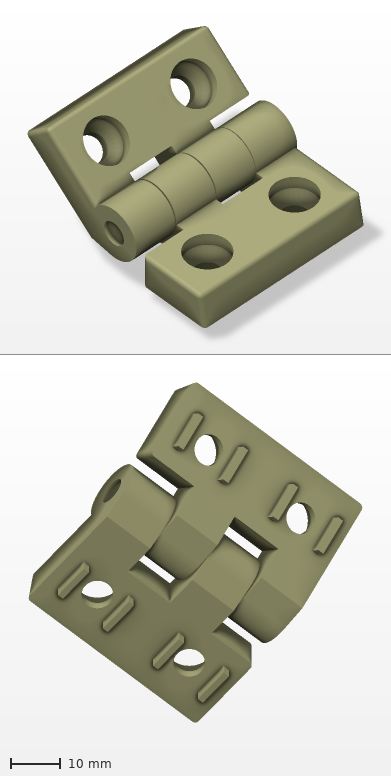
import cadquery as cq
import math


LENGTH = 52.25
WIDTH = 44.8
OPEN_TILT = 40.0

PLATE_TOP = -0.4
PLATE_BOTTOM = -8.5
END_DRAFT = 10.0
HEEL = 1.5
NOTCH_WALL = 8.5
EDGE_RADIUS = 1.0

TILT = math.radians(OPEN_TILT)
PLATE_END = (LENGTH + PLATE_BOTTOM * math.sin(TILT)) / (1 + math.cos(TILT))

KNUCKLE_RADIUS = 6.55
PIN_RADIUS = 2.85
PIN_RECESS = 1.0
RIGHT_KNUCKLES = [(10.95, WIDTH / 2), (-11.2, -0.2)]
LEFT_KNUCKLES = [(0.1, 10.75), (-WIDTH / 2, -11.55)]
RIGHT_FREE_CORNER = -1
LEFT_FREE_CORNER = 1

HOLE_X = 16.5
HOLE_Y = 12.15
HOLE_RADIUS = 3.2
HEAD_RADIUS = 5.3
HEAD_DEPTH = 3.05
CONE_DEPTH = 2.85

TAB_LENGTH = 8.05
TAB_THICKNESS = 1.3
TAB_HEIGHT = 2.85
TAB_INNER_Y = 6.65
TAB_OUTER_Y = 18.55


def extrude_along_y(sketch, low, high):
    """Extrude an outline drawn on the XZ plane so that it spans low to high in Y."""
    return sketch.extrude(high - low).translate((0, high, 0))


def axis_cylinder(radius, low, high):
    """Cylinder about the pin axis."""
    return extrude_along_y(cq.Workplane("XZ").circle(radius), low, high)


def heel_tangent_point():
    """Point where the underside rising from the heel touches the knuckle circle."""
    heel_distance = math.hypot(HEEL, PLATE_BOTTOM)
    heel_angle = math.atan2(PLATE_BOTTOM, HEEL)
    touch_angle = heel_angle - math.acos(KNUCKLE_RADIUS / heel_distance)
    return KNUCKLE_RADIUS * math.cos(touch_angle), KNUCKLE_RADIUS * math.sin(touch_angle)


def rounded_plate():
    """Full-width plate with a drafted, rounded outer end and rounded top side edges."""
    end_setback = (PLATE_TOP - PLATE_BOTTOM) * math.tan(math.radians(END_DRAFT))
    outline = cq.Workplane("XZ").polyline([
        (HEEL, PLATE_BOTTOM),
        (PLATE_END, PLATE_BOTTOM),
        (PLATE_END - end_setback, PLATE_TOP),
        (0, PLATE_TOP),
        heel_tangent_point(),
    ]).close()
    plate = extrude_along_y(outline, -WIDTH / 2, WIDTH / 2)
    side_edges = plate.faces("<Y or >Y").edges(">Z or >X")
    end_top_edge = plate.faces(">Z").edges(">X")
    return plate.newObject(side_edges.vals() + end_top_edge.vals()).fillet(EDGE_RADIUS)


def hinge_side_waste(knuckles):
    """Everything on the hinge side of the notch wall, outside the knuckle spans."""
    reach = NOTCH_WALL + KNUCKLE_RADIUS
    height = 2 * (KNUCKLE_RADIUS - PLATE_BOTTOM)
    waste = cq.Workplane("XY").box(reach, WIDTH, height)
    for low, high in knuckles:
        knuckle_span = cq.Workplane("XY").box(reach, high - low, height)
        waste = waste.cut(knuckle_span.translate((0, (low + high) / 2, 0)))
    return waste.translate((NOTCH_WALL - reach / 2, 0, 0))


def corner_rounding_waste(side):
    """Sliver removed to round the upright plate corner next to an end notch."""
    height = 2 * (KNUCKLE_RADIUS - PLATE_BOTTOM)
    center_x = NOTCH_WALL + EDGE_RADIUS
    center_y = side * (WIDTH / 2 - EDGE_RADIUS)
    square = cq.Workplane("XY").box(EDGE_RADIUS, EDGE_RADIUS, height)
    square = square.translate((center_x - EDGE_RADIUS / 2, center_y + side * EDGE_RADIUS / 2, 0))
    round_post = cq.Workplane("XY").center(center_x, center_y).circle(EDGE_RADIUS)
    round_post = round_post.extrude(height / 2, both=True)
    return square.cut(round_post)


def screw_hole_cutter():
    """Straight head recess, cone and through hole as one revolved shape about Z."""
    cone_top = PLATE_TOP - HEAD_DEPTH
    profile = cq.Workplane("XZ").polyline([
        (0, PLATE_TOP),
        (HEAD_RADIUS, PLATE_TOP),
        (HEAD_RADIUS, cone_top),
        (HOLE_RADIUS, cone_top - CONE_DEPTH),
        (HOLE_RADIUS, PLATE_BOTTOM),
        (0, PLATE_BOTTOM),
    ]).close()
    return profile.revolve(360, (0, 0), (0, 1))


def tab():
    """Locating tab hanging from the mounting face."""
    block = cq.Workplane("XY").box(TAB_LENGTH, TAB_THICKNESS, TAB_HEIGHT)
    return block.translate((HOLE_X, 0, PLATE_BOTTOM - TAB_HEIGHT / 2))


def hinge_leaf(knuckles, free_corner):
    """One leaf reaching towards +X, bored for the pin."""
    leaf = rounded_plate().cut(hinge_side_waste(knuckles))
    leaf = leaf.cut(corner_rounding_waste(free_corner))
    for low, high in knuckles:
        leaf = leaf.union(axis_cylinder(KNUCKLE_RADIUS, low, high))
    for hole_y in (-HOLE_Y, HOLE_Y):
        leaf = leaf.cut(screw_hole_cutter().translate((HOLE_X, hole_y, 0)))
    for tab_y in (-TAB_OUTER_Y, -TAB_INNER_Y, TAB_INNER_Y, TAB_OUTER_Y):
        leaf = leaf.union(tab().translate((0, tab_y, 0)))
    return leaf.cut(axis_cylinder(PIN_RADIUS, -WIDTH / 2, WIDTH / 2))


right_leaf = hinge_leaf(RIGHT_KNUCKLES, RIGHT_FREE_CORNER)

left_leaf = hinge_leaf(LEFT_KNUCKLES, LEFT_FREE_CORNER).mirror("YZ")
left_leaf = left_leaf.rotate((0, 0, 0), (0, 1, 0), OPEN_TILT)

pin = axis_cylinder(PIN_RADIUS, -WIDTH / 2 + PIN_RECESS, WIDTH / 2 - PIN_RECESS)

result = cq.Compound.makeCompound([right_leaf.solids().val(), left_leaf.solids().val(), pin.val()])